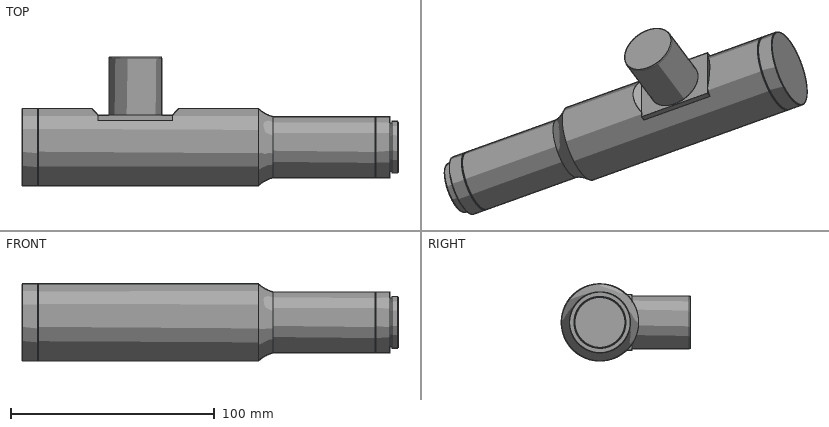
import cadquery as cq

body_radius = 19.0
body_length = 115.8
body_groove_start = 7.5
body_chamfer = 0.3

barrel_radius = 15.0
barrel_start = 123.0
barrel_end = 180.3
barrel_groove_start = 173.1
shoulder_radius = 17.0

tip_radius = 12.75
tip_start = 181.3
tip_end = 184.5
tip_chamfer = 0.5
neck_radius = 12.0

groove_width = 0.5
groove_depth = 0.25

port_x = 55.5
port_radius = 13.0
port_end = 44.3
port_taper_length = 0.8
port_taper_depth = 0.2
seat_level = 15.7
seat_length = 36.4
seat_width = 27.5
seat_bottom = 12.8
recess_end_run = 3.0


def groove(start, radius):
    """Ring that cuts a shallow square groove into a round length."""
    outer = cq.Workplane("YZ").workplane(offset=start).circle(radius + groove_depth)
    return outer.circle(radius - groove_depth).extrude(groove_width)


def make_body():
    """Revolve the stepped profile with its hollow-curved shoulder."""
    chord_x = barrel_start - body_length
    chord_y = body_radius - barrel_radius
    chord = (chord_x**2 + chord_y**2) ** 0.5
    sag = shoulder_radius - (shoulder_radius**2 - (chord / 2) ** 2) ** 0.5
    shoulder_mid = (
        (body_length + barrel_start) / 2 - sag * chord_y / chord,
        (body_radius + barrel_radius) / 2 - sag * chord_x / chord,
    )
    profile = (
        cq.Workplane("XY")
        .moveTo(0, 0)
        .lineTo(0, body_radius - body_chamfer)
        .lineTo(body_chamfer, body_radius)
        .lineTo(body_length, body_radius)
        .threePointArc(shoulder_mid, (barrel_start, barrel_radius))
        .lineTo(barrel_end, barrel_radius)
        .lineTo(barrel_end, neck_radius)
        .lineTo(tip_start, neck_radius)
        .lineTo(tip_start, tip_radius)
        .lineTo(tip_end - tip_chamfer, tip_radius)
        .lineTo(tip_end, tip_radius - tip_chamfer)
        .lineTo(tip_end, 0)
        .close()
    )
    body = profile.revolve(360, (0, 0, 0), (1, 0, 0))
    body = body.cut(groove(body_groove_start, body_radius))
    return body.cut(groove(barrel_groove_start, barrel_radius))


def make_recess():
    """Flat-bottomed cut across the body, with sloping ends."""
    half_floor = seat_length / 2
    half_mouth = half_floor + recess_end_run
    outline = [
        (port_x - half_floor, seat_level),
        (port_x + half_floor, seat_level),
        (port_x + half_mouth, body_radius),
        (port_x - half_mouth, body_radius),
    ]
    return cq.Workplane("XY").polyline(outline).close().extrude(body_radius, both=True)


def make_seat():
    """Rectangular pad, level with the recess floor and wider than it."""
    size_y = seat_level - seat_bottom
    center_y = (seat_level + seat_bottom) / 2
    return cq.Workplane("XY").box(seat_length, size_y, seat_width).translate((port_x, center_y, 0))


def make_port():
    """Round stub from the body axis to the port end, with a slim taper at its rim."""
    profile = (
        cq.Workplane("XY")
        .moveTo(port_x, 0)
        .lineTo(port_x + port_radius, 0)
        .lineTo(port_x + port_radius, port_end - port_taper_length)
        .lineTo(port_x + port_radius - port_taper_depth, port_end)
        .lineTo(port_x, port_end)
        .close()
    )
    return profile.revolve(360, (port_x, 0, 0), (port_x, 1, 0))


result = make_body().cut(make_recess()).union(make_seat()).union(make_port())